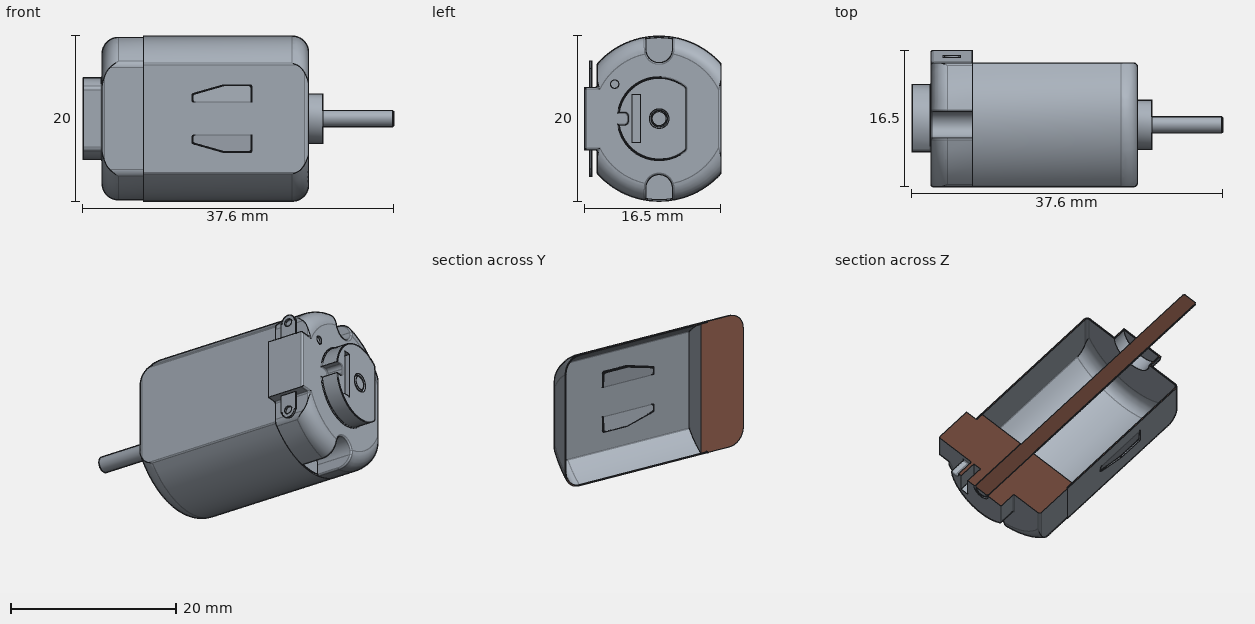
import cadquery as cq
import math


body_radius = 10.0
width_across_flats = 15.0
end_round = 2.0

can_length = 20.0
can_corner_round = 0.3
can_flat_round = 0.53
can_wall = 0.2
bushing_diameter = 6.0
bushing_length = 1.73

window_start = 5.9
window_shoulder = 9.75
window_end = 13.12
window_hinge_z = 2.0
window_tip_z = 3.0
window_outer_z = 4.1
window_corner_round = 0.23
flap_gap = 0.1
flap_drop = 0.2

cap_length = 5.0
plug_length = 1.0
cap_corner_round = 1.13
cap_flat_round = 0.3
tab_half_width = 3.8
tab_height = 1.5
tab_edge_round = 0.23
tab_root_round = 0.2
vent_width = 3.2
vent_floor_z = 6.75
vent_edge_round = 0.2
pip_diameter = 1.0
pip_depth = 0.25
pip_y = 5.38
pip_z = 4.17

boss_radius = 4.95
boss_length = 2.3
boss_flat_offset = 3.27
boss_corner_round = 0.6
boss_root_round = 0.1
boss_tip_round = 0.08
notch_width = 1.5
notch_floor_y = 3.72
notch_corner_round = 0.5
pocket_width = 1.0
pocket_length = 5.83
pocket_y = 2.75
pocket_depth = boss_length

shaft_diameter = 2.0
shaft_chamfer = 0.15
bore_mouth_chamfer = 0.2
overall_length = 37.6

terminal_width = 2.15
terminal_thickness = 0.25
terminal_reach = 7.0
terminal_tip_radius = 0.9
terminal_hole_diameter = 1.0
terminal_hole_z = 5.98
terminal_x = -2.5
terminal_y = 8.27

pick_margin = 0.05

flat_offset = width_across_flats / 2
cap_face_x = -cap_length
boss_face_x = cap_face_x - boss_length
shaft_end_x = boss_face_x + overall_length


def x_cylinder(radius, start_x, end_x):
    """Cylinder on the motor axis."""
    return cq.Workplane("YZ", origin=(start_x, 0, 0)).circle(radius).extrude(end_x - start_x)


def flatted_outline(inset):
    """Circle with two parallel flats, moved inward by `inset`, in a plane across the axis."""
    radius = body_radius - inset
    flat_y = flat_offset - inset
    corner_z = math.sqrt(radius**2 - flat_y**2)
    return (
        cq.Workplane("YZ")
        .moveTo(-flat_y, -corner_z)
        .threePointArc((0, -radius), (flat_y, -corner_z))
        .lineTo(flat_y, corner_z)
        .threePointArc((0, radius), (-flat_y, corner_z))
        .close()
    )


def motor_blank(length, corner_round, flat_round, inset=0):
    """Flatted cylinder from X = 0 to `length`, rounded at its far end, all moved inward by `inset`."""
    curved_body = x_cylinder(body_radius - inset, 0, length - inset)
    curved_body = curved_body.faces(">X").edges().fillet(end_round - inset)
    flatted_body = flatted_outline(inset).extrude(length - inset)
    flatted_body = flatted_body.edges("|X").fillet(corner_round - inset)
    flatted_body = flatted_body.faces(">X").edges().fillet(flat_round - inset)
    return flatted_body.intersect(curved_body)


def window_outline(gap):
    """Tapered outline above the axis, drawn inside the window by `gap` except along the hinge."""
    slope_angle = math.atan2(window_outer_z - window_tip_z, window_shoulder - window_start)
    slope_drop = gap / math.cos(slope_angle)
    tip_z = window_tip_z - slope_drop + gap * math.tan(slope_angle)
    outer_z = window_outer_z - gap
    shoulder_x = window_shoulder + gap * math.tan(slope_angle / 2)
    return [
        (window_start + gap, window_hinge_z),
        (window_end - gap, window_hinge_z),
        (window_end - gap, outer_z),
        (shoulder_x, outer_z),
        (window_start + gap, tip_z),
    ]


def window_prism(gap):
    """Block of the tapered outline, from the -Y flat to the depth of the bent flap."""
    return (
        cq.Workplane("XZ", origin=(0, -flat_offset, 0))
        .polyline(window_outline(gap))
        .close()
        .extrude(-flap_drop - can_wall)
        .edges("|Y and (<X or >Z)")
        .fillet(window_corner_round)
    )


def make_flap():
    """Upper flap: a strip of the can wall, bent inward about its hinge edge."""
    outer_face_y = -flat_offset
    bent_wall = (
        cq.Workplane("YZ", origin=(window_start, 0, 0))
        .moveTo(outer_face_y, window_hinge_z)
        .lineTo(outer_face_y + flap_drop, window_outer_z)
        .lineTo(outer_face_y + flap_drop + can_wall, window_outer_z)
        .lineTo(outer_face_y + can_wall, window_hinge_z)
        .close()
        .extrude(window_end - window_start)
    )
    return bent_wall.intersect(window_prism(flap_gap))


def make_can():
    """Thin drawn shell with a hollow bushing at its closed end."""
    bushing_end = can_length + bushing_length
    can = motor_blank(can_length, can_corner_round, can_flat_round)
    can = can.union(x_cylinder(bushing_diameter / 2, can_length / 2, bushing_end))
    can = can.cut(motor_blank(can_length, can_corner_round, can_flat_round, can_wall))
    can = can.cut(x_cylinder(bushing_diameter / 2 - can_wall, 0, bushing_end - can_wall))
    can = can.cut(x_cylinder(shaft_diameter / 2, 0, bushing_end))
    window = window_prism(0)
    flap = make_flap()
    can = can.cut(window).cut(window.mirror("XY"))
    return can.union(flap).union(flap.mirror("XY"))


def make_tab():
    """Block reaching from the axis past the +Y flat, with rounded front edges."""
    outer_y = flat_offset + tab_height
    tab = (
        cq.Workplane("XY")
        .box(cap_length, outer_y, 2 * tab_half_width, centered=(False, False, True))
        .translate((cap_face_x, 0, 0))
    )
    return tab.faces("<X").edges(">Y or >Z or <Z").fillet(tab_edge_round)


def vent_cutter(side):
    """Round-bottomed slot through the rim of the cap."""
    round_center_z = vent_floor_z + vent_width / 2
    floor = (
        cq.Workplane("YZ", origin=(cap_face_x, 0, side * round_center_z))
        .circle(vent_width / 2)
        .extrude(cap_length)
    )
    walls = (
        cq.Workplane("YZ", origin=(cap_face_x, 0, side * (round_center_z + body_radius / 2)))
        .rect(vent_width, body_radius)
        .extrude(cap_length)
    )
    return floor.union(walls)


def vent_rim(side):
    """Selects the edges of one slot that lie on the outside of the cap."""
    reach = vent_width / 2 + pick_margin
    all_edges = cq.selectors.BoxSelector(
        (cap_face_x - pick_margin, -reach, side * (vent_floor_z - pick_margin)),
        (-pick_margin, reach, side * body_radius),
    )
    floor_edges = cq.selectors.BoxSelector(
        (cap_face_x / 2 - pick_margin, -reach, side * vent_floor_z),
        (cap_face_x / 2 + pick_margin, reach, side * (vent_floor_z + vent_width / 2 + pick_margin)),
    )
    return cq.selectors.SubtractSelector(all_edges, floor_edges)


def boss_root():
    """Selects the edges where the boss meets the front face of the cap."""
    return cq.selectors.BoxSelector(
        (cap_face_x - pick_margin, -boss_radius, -boss_radius),
        (cap_face_x + pick_margin, boss_radius, boss_radius),
    )


def bore_mouth():
    """Selects edges centred on the motor axis at the front of the boss."""
    return cq.selectors.BoxSelector(
        (boss_face_x - pick_margin, -pick_margin, -pick_margin),
        (boss_face_x + pick_margin, pick_margin, pick_margin),
    )


def make_boss():
    """Boss with a flat on its -Y side, a notch on its +Y side and a rounded outer rim."""
    boss = x_cylinder(boss_radius, boss_face_x, cap_face_x)
    below_flat = (
        cq.Workplane("XY")
        .box(boss_length, boss_radius, 2 * boss_radius, centered=(False, False, True))
        .translate((boss_face_x, -boss_flat_offset - boss_radius, 0))
    )
    boss = boss.cut(below_flat).edges("|X and <Y").fillet(boss_corner_round)
    notch = (
        cq.Workplane("XY")
        .box(boss_length, boss_radius, notch_width, centered=(False, False, True))
        .translate((boss_face_x, notch_floor_y, 0))
        .edges("|X and <Y")
        .fillet(notch_corner_round)
    )
    return boss.cut(notch).faces("<X").edges().fillet(boss_tip_round)


def make_cap():
    cap = motor_blank(cap_length, cap_corner_round, cap_flat_round)
    cap = cap.rotate((0, 0, 0), (0, 0, 1), 180)
    cap = cap.union(make_tab())
    tab_root = cq.selectors.BoxSelector(
        (cap_face_x, flat_offset - tab_root_round, -tab_half_width - tab_root_round),
        (0, flat_offset + tab_root_round, tab_half_width + tab_root_round),
    )
    cap = cap.edges("|X").edges(tab_root).fillet(tab_root_round)
    for side in (1, -1):
        cap = cap.cut(vent_cutter(side))
        cap = cap.edges(vent_rim(side)).fillet(vent_edge_round)
    plug = flatted_outline(can_wall).extrude(plug_length)
    plug = plug.edges("|X").fillet(can_corner_round - can_wall)
    cap = cap.union(plug).union(make_boss())
    cap = cap.edges(boss_root()).fillet(boss_root_round)

    pip = (
        cq.Workplane("YZ", origin=(cap_face_x, pip_y, pip_z))
        .circle(pip_diameter / 2)
        .extrude(pip_depth)
    )
    pocket = (
        cq.Workplane("YZ", origin=(boss_face_x, pocket_y, 0))
        .rect(pocket_width, pocket_length)
        .extrude(pocket_depth)
    )
    bore = x_cylinder(shaft_diameter / 2, boss_face_x, plug_length)
    cap = cap.cut(pip).cut(pocket).cut(bore)
    return cap.faces("<X").edges("%CIRCLE").edges(bore_mouth()).chamfer(bore_mouth_chamfer)


def make_shaft():
    shaft = x_cylinder(shaft_diameter / 2, boss_face_x, shaft_end_x)
    return shaft.faces("<X or >X").edges().chamfer(shaft_chamfer)


def make_terminal(side):
    """Flat tag with a rounded, pierced tip, standing on the end of the tab."""
    tip_center_z = terminal_reach - terminal_tip_radius
    plane = cq.Workplane("XZ", origin=(terminal_x, terminal_y + terminal_thickness / 2, 0))
    tag = (
        plane.moveTo(-terminal_width / 2, tab_half_width)
        .lineTo(terminal_width / 2, tab_half_width)
        .lineTo(terminal_width / 2, tip_center_z)
        .lineTo(terminal_tip_radius, tip_center_z)
        .threePointArc((0, terminal_reach), (-terminal_tip_radius, tip_center_z))
        .lineTo(-terminal_width / 2, tip_center_z)
        .close()
        .extrude(terminal_thickness)
    )
    hole = plane.moveTo(0, terminal_hole_z).circle(terminal_hole_diameter / 2)
    tag = tag.cut(hole.extrude(terminal_thickness))
    return tag if side > 0 else tag.mirror("XY")


can = make_can()
cap = make_cap()
shaft = make_shaft()
terminals = [make_terminal(side) for side in (1, -1)]

result = cq.Compound.makeCompound(
    [can.val(), cap.val(), shaft.val(), *[terminal.val() for terminal in terminals]]
)